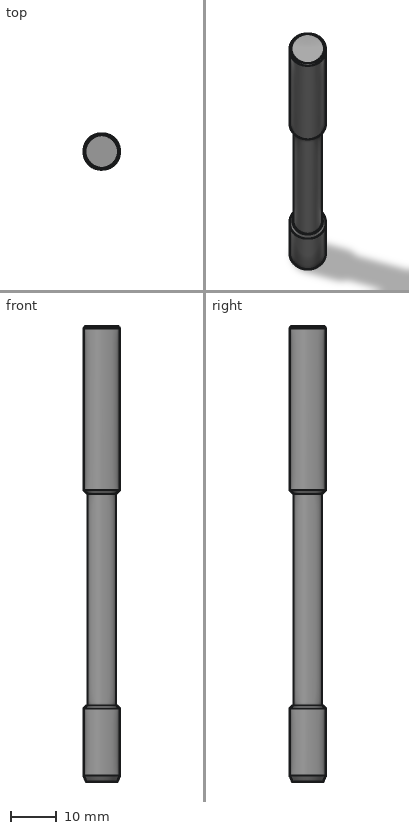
import cadquery as cq

total_length = 100.0
body_radius = 4.0
neck_diameter = 6.3
tip_length = 16.8
grip_length = 36.8

top_bevel_depth = 0.4
top_bevel_height = 0.5
bottom_bevel_depth = 0.6
bottom_bevel_height = 1.4
tip_shoulder_bevel = 0.7

neck_radius = neck_diameter / 2
grip_bottom = total_length - grip_length
grip_shoulder_bevel = body_radius - neck_radius


def revolve_profile(points):
    """Turn a closed (radius, height) outline into a solid around the Z axis."""
    return cq.Workplane("XZ").polyline(points).close().revolve(360, (0, 0), (0, 1))


def make_grip():
    """Upper cylinder with its long, slender neck."""
    return revolve_profile([
        (0, tip_length),
        (neck_radius, tip_length),
        (neck_radius, grip_bottom),
        (body_radius, grip_bottom + grip_shoulder_bevel),
        (body_radius, total_length - top_bevel_height),
        (body_radius - top_bevel_depth, total_length),
        (0, total_length),
    ])


def make_tip():
    """Lower cylinder, bevelled at both ends, on which the neck stands."""
    return revolve_profile([
        (0, 0),
        (body_radius - bottom_bevel_depth, 0),
        (body_radius, bottom_bevel_height),
        (body_radius, tip_length - tip_shoulder_bevel),
        (body_radius - tip_shoulder_bevel, tip_length),
        (0, tip_length),
    ])


grip = make_grip()
tip = make_tip()

result = cq.Compound.makeCompound([grip.val(), tip.val()])